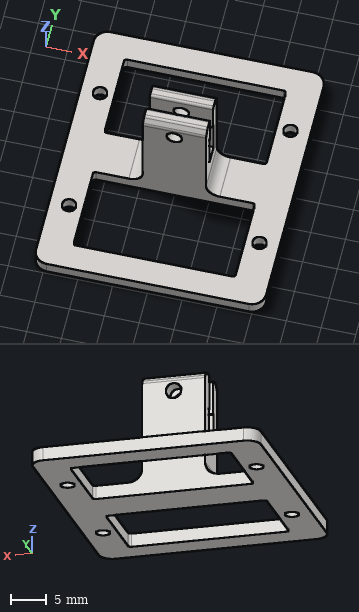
import cadquery as cq

plate_width = 33.1
plate_length = 39.4
plate_thickness = 2.0
plate_corner_radius = 2.0

window_width = 23.25
window_outer_edge = 15.75
window_corner_radius = 0.4

mount_hole_diameter = 1.97
mount_hole_spacing_x = 27.4
mount_hole_spacing_y = 19.03

total_height = 17.8
post_width = 9.15
post_depth = 6.7
post_foot_radius = 1.97
outer_chamfer = 0.9
chamfer_edge_radius = 0.6
slot_lip_radius = 0.4

slot_mouth_width = 1.95
slot_mouth_depth = 5.0
slot_pocket_width = 2.55
slot_total_depth = 10.65

pin_hole_diameter = 2.2
pin_hole_drop = 2.65

selection_margin = 0.05


def make_plate():
    window_length = window_outer_edge - post_depth / 2
    window_center_y = (window_outer_edge + post_depth / 2) / 2
    plate = (
        cq.Workplane("XY")
        .rect(plate_width, plate_length)
        .extrude(plate_thickness)
        .edges("|Z")
        .fillet(plate_corner_radius)
    )
    windows = (
        cq.Workplane("XY")
        .pushPoints([(0, window_center_y), (0, -window_center_y)])
        .rect(window_width, window_length)
        .extrude(plate_thickness)
        .edges("|Z")
        .fillet(window_corner_radius)
    )
    mount_holes = (
        cq.Workplane("XY")
        .rect(mount_hole_spacing_x, mount_hole_spacing_y, forConstruction=True)
        .vertices()
        .circle(mount_hole_diameter / 2)
        .extrude(plate_thickness)
    )
    return plate.cut(windows).cut(mount_holes)


def make_post_blank():
    """Post with concave feet that blend into the bridge on both X sides."""
    half_width = post_width / 2
    foot_half_width = half_width + post_foot_radius
    foot_top = plate_thickness + post_foot_radius
    return (
        cq.Workplane("XZ")
        .moveTo(-foot_half_width, 0)
        .lineTo(foot_half_width, 0)
        .lineTo(foot_half_width, plate_thickness)
        .radiusArc((half_width, foot_top), post_foot_radius)
        .lineTo(half_width, total_height)
        .lineTo(-half_width, total_height)
        .lineTo(-half_width, foot_top)
        .radiusArc((-foot_half_width, plate_thickness), post_foot_radius)
        .close()
        .extrude(post_depth / 2, both=True)
    )


def slot_box(width, depth):
    """Cutter that runs along X and reaches down from the top of the post."""
    return cq.Workplane("XY").box(post_width, width, depth).translate((0, 0, total_height - depth / 2))


def edge_pair(y, z):
    """Selector for the two edges along X at the given height, at +y and -y."""
    def box_at(center_y):
        return cq.selectors.BoxSelector(
            (-post_width, center_y - selection_margin, z - selection_margin),
            (post_width, center_y + selection_margin, z + selection_margin),
        )

    return box_at(y) + box_at(-y)


def make_post():
    half_depth = post_depth / 2
    post = make_post_blank()
    post = post.edges(edge_pair(half_depth, total_height)).chamfer(outer_chamfer)

    upper_borders = edge_pair(half_depth - outer_chamfer, total_height)
    lower_borders = edge_pair(half_depth, total_height - outer_chamfer)
    post = post.edges(upper_borders + lower_borders).fillet(chamfer_edge_radius)

    post = post.cut(slot_box(slot_mouth_width, slot_mouth_depth))
    post = post.edges(edge_pair(slot_mouth_width / 2, total_height)).fillet(slot_lip_radius)

    pocket = slot_box(slot_pocket_width, slot_total_depth - slot_mouth_depth)
    post = post.cut(pocket.translate((0, 0, -slot_mouth_depth)))

    pin_hole = (
        cq.Workplane("XZ")
        .center(0, total_height - pin_hole_drop)
        .circle(pin_hole_diameter / 2)
        .extrude(post_depth, both=True)
    )
    return post.cut(pin_hole)


result = make_plate().union(make_post())